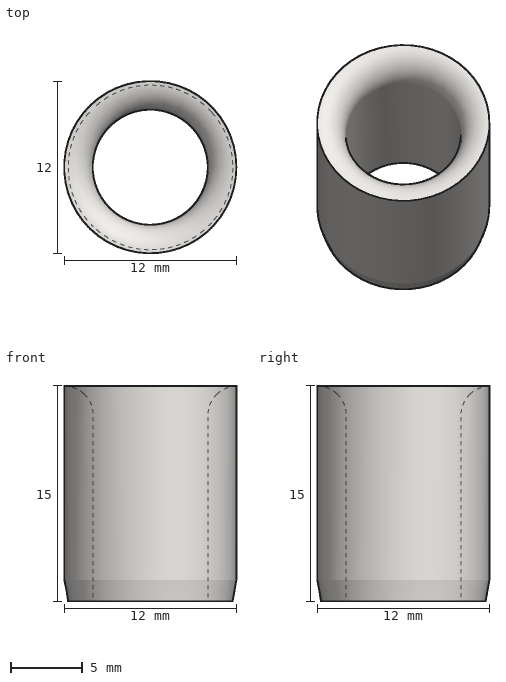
import cadquery as cq
import math

height = 15.0
outer_diameter = 12.0
bore_diameter = 8.0
lead_in_height = 1.5
lead_in_angle = 10.0

outer_radius = outer_diameter / 2
bore_radius = bore_diameter / 2
mouth_radius = outer_radius - bore_radius
tip_radius = outer_radius - lead_in_height * math.tan(math.radians(lead_in_angle))
arc_middle = mouth_radius * math.sqrt(0.5)

half_section = (
    cq.Workplane("XZ")
    .moveTo(bore_radius, 0)
    .lineTo(tip_radius, 0)
    .lineTo(outer_radius, lead_in_height)
    .lineTo(outer_radius, height)
    .threePointArc(
        (outer_radius - arc_middle, height - mouth_radius + arc_middle),
        (bore_radius, height - mouth_radius),
    )
    .close()
)

result = half_section.revolve(360, (0, 0, 0), (0, 1, 0))